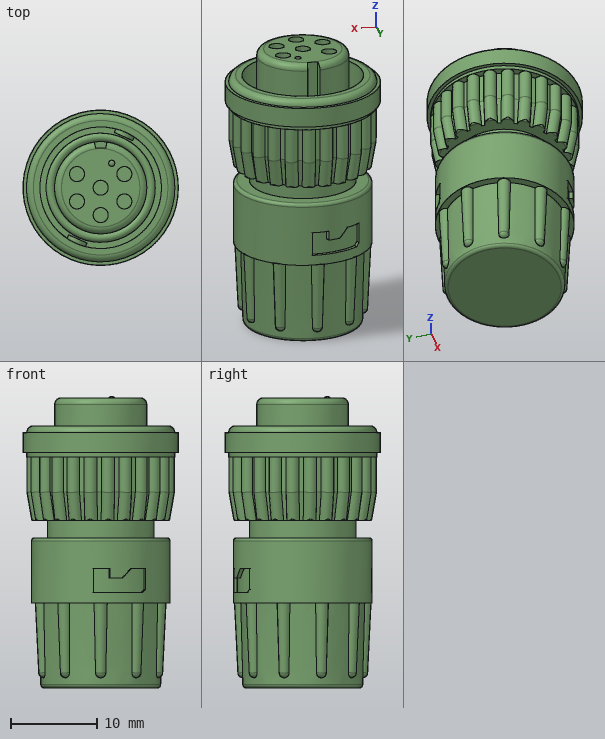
import cadquery as cq
import math


grip_bottom_radius = 6.95
grip_top_radius = 7.23
grip_bottom_round = 0.4
rib_count = 10
rib_phase = -90.0
rib_sink = 0.02
rib_bottom_radius = 0.6
rib_top_radius = 0.77
rib_bottom_z = 1.78
rib_sleeve_overlap = 0.2

sleeve_bottom_z = 9.85
sleeve_top_z = 17.42
sleeve_radius = 8.05
sleeve_round = 0.4
neck_radius = 6.2

pocket_direction = -73.0
pocket_depth = 0.45
pocket_floor_radius = sleeve_radius - pocket_depth
pocket_bottom_z = 11.05
pocket_top_z = 13.85
pocket_half_width = 3.14
pocket_corner_cut = 0.4
notch_bottom_z = 12.75
notch_half_width = 1.27

nut_bottom_z = 19.4
nut_bend_z = 22.75
nut_ridge_top_z = 26.8
nut_radius = 8.6
nut_top_z = 30.4
nut_top_round = 0.8
nut_bottom_round = 0.25
nut_taper_angle = 10.0
collar_radius = 9.015
collar_bottom_z = 27.3
collar_top_z = nut_top_z - nut_top_round
ridge_count = 24
ridge_radius = 0.75
ridge_phase = 6.3
bore_radius = 7.05
bore_floor_z = 26.3

stud_radius = 1.17
stud_inner_radius = 6.5
stud_direction = 66.0
stud_center_z = 29.0
stud_wall_overlap = 0.3

core_radius = 5.35
core_top_z = 33.65
core_round = 0.8
ring_section_radius = 0.49
keyway_floor_y = 4.6
keyway_inner_half_width = 0.59
keyway_outer_half_width = 0.74

contact_radius = 0.87
contact_depth = 0.8
contact_circle_radius = 3.17
contact_angles = (-150, -90, -30, 30, 150)
index_mark_x = 1.28
index_mark_y = 2.83
index_mark_radius = 0.36
index_mark_height = 0.15

nut_taper = math.tan(math.radians(nut_taper_angle))
ridge_axis_radius = nut_radius - ridge_radius
valley_radius = ridge_axis_radius


def cylinder(radius, bottom_z, top_z):
    return cq.Workplane("XY").workplane(offset=bottom_z).circle(radius).extrude(top_z - bottom_z)


def turned(points):
    """Solid of revolution about Z from (radius, z) points."""
    return cq.Workplane("XZ").polyline(points).close().revolve(360, (0, 0), (0, 1))


def spin(shape, angle):
    return shape.rotate((0, 0, 0), (0, 0, 1), angle)


def add_around(body, shape, count, phase):
    """Join equally spaced copies of a shape onto a body, turned about Z from the phase angle."""
    copies = [spin(shape, phase + i * 360 / count).val() for i in range(count)]
    return cq.Workplane(body.val().fuse(*copies))


def make_grip_rib():
    """Tapered round rib along +X with a ball-shaped bottom end, leaning with the grip wall."""
    lean = math.degrees(math.atan((grip_top_radius - grip_bottom_radius) / sleeve_bottom_z))
    length = sleeve_bottom_z - rib_bottom_z + rib_sleeve_overlap
    ball_corner = rib_bottom_radius * math.sqrt(0.5)
    half_profile = (
        cq.Workplane("XZ")
        .moveTo(0, -rib_bottom_radius)
        .threePointArc((-ball_corner, -ball_corner), (-rib_bottom_radius, 0))
        .lineTo(-rib_top_radius, length)
        .lineTo(0, length)
        .close()
    )
    rib = half_profile.revolve(360, (0, 0), (0, 1))
    rib = rib.rotate((0, 0, 0), (0, 1, 0), lean)
    return rib.translate((grip_bottom_radius - rib_sink, 0, rib_bottom_z))


def make_grip():
    grip = turned([
        (0, 0),
        (grip_bottom_radius, 0),
        (grip_top_radius, sleeve_bottom_z),
        (0, sleeve_bottom_z),
    ]).faces("<Z").edges().fillet(grip_bottom_round)
    rib = make_grip_rib()
    return add_around(grip, rib, rib_count, rib_phase)


def make_pocket():
    """Cutter for one pocket: a prism along +X that stops at the pocket floor cylinder."""
    notch_depth = pocket_top_z - notch_bottom_z
    outline = [
        (-pocket_half_width, pocket_top_z),
        (-notch_half_width, pocket_top_z),
        (-notch_half_width, notch_bottom_z),
        (notch_half_width - notch_depth, notch_bottom_z),
        (notch_half_width, pocket_top_z),
        (pocket_half_width, pocket_top_z),
        (pocket_half_width, pocket_bottom_z + pocket_corner_cut),
        (pocket_half_width - pocket_corner_cut, pocket_bottom_z),
        (-pocket_half_width, pocket_bottom_z),
    ]
    prism = cq.Workplane("YZ").polyline(outline).close().extrude(2 * sleeve_radius)
    return prism.cut(cylinder(pocket_floor_radius, sleeve_bottom_z, sleeve_top_z))


def make_sleeve():
    sleeve = cylinder(sleeve_radius, sleeve_bottom_z, sleeve_top_z)
    sleeve = sleeve.faces(">Z").edges().fillet(sleeve_round)
    pocket = make_pocket()
    for side in (0, 180):
        sleeve = sleeve.cut(spin(pocket, pocket_direction + side))
    return sleeve


def tapered_nut_body(radius, bend_z):
    """Round body, straight above the bend and tapering inward below it."""
    bottom_radius = radius - (bend_z - nut_bottom_z) * nut_taper
    return turned([
        (0, nut_bottom_z),
        (bottom_radius, nut_bottom_z),
        (radius, bend_z),
        (radius, nut_ridge_top_z),
        (0, nut_ridge_top_z),
    ])


def make_nut_ridge():
    """Round ridge along +X that follows the straight and tapered parts of the nut."""
    overrun_z = nut_bottom_z - 2 * nut_bottom_round
    end_radius = ridge_axis_radius - (nut_bend_z - overrun_z) * nut_taper
    path = cq.Workplane("XZ").polyline([
        (ridge_axis_radius, nut_ridge_top_z),
        (ridge_axis_radius, nut_bend_z),
        (end_radius, overrun_z),
    ])
    section = cq.Workplane("XY").workplane(offset=nut_ridge_top_z)
    return section.center(ridge_axis_radius, 0).circle(ridge_radius).sweep(path, transition="right")


def make_nut_ribbed_part():
    ribbed = tapered_nut_body(valley_radius, nut_bend_z)
    ridge = make_nut_ridge()
    ribbed = add_around(ribbed, ridge, ridge_count, ridge_phase)
    crown_bend_z = nut_bend_z - ridge_radius * math.tan(math.radians(nut_taper_angle / 2))
    envelope = tapered_nut_body(nut_radius, crown_bend_z).faces("<Z").edges().fillet(nut_bottom_round)
    return ribbed.intersect(envelope)


def make_stud():
    """Bayonet stud pointing along X, from the bore wall inward."""
    length = bore_radius + stud_wall_overlap - stud_inner_radius
    section = cq.Workplane("YZ").workplane(offset=stud_inner_radius).center(0, stud_center_z)
    return section.circle(stud_radius).extrude(length)


def make_nut():
    nut = cylinder(nut_radius, nut_ridge_top_z, nut_top_z).faces(">Z").edges().fillet(nut_top_round)
    nut = nut.union(cylinder(collar_radius, collar_bottom_z, collar_top_z))
    nut = nut.union(make_nut_ribbed_part())
    nut = nut.cut(cylinder(bore_radius, bore_floor_z, nut_top_z))
    stud = make_stud()
    for side in (0, 180):
        nut = nut.union(spin(stud, stud_direction + side))
    return nut


def make_sealing_ring():
    """Ring around the core, half sunk in the bore floor."""
    ring_radius = core_radius + ring_section_radius
    section = cq.Workplane("XZ").center(ring_radius, bore_floor_z).circle(ring_section_radius)
    return section.revolve(360, (-ring_radius, 0), (-ring_radius, 1))


def make_index_mark():
    """Low dome on the core face."""
    ball_radius = (index_mark_radius ** 2 + index_mark_height ** 2) / (2 * index_mark_height)
    ball_z = core_top_z + index_mark_height - ball_radius
    return cq.Workplane("XY").sphere(ball_radius).translate((index_mark_x, index_mark_y, ball_z))


def make_core():
    core = cylinder(core_radius, bore_floor_z, core_top_z).faces(">Z").edges().fillet(core_round)
    keyway = cq.Workplane("XY").workplane(offset=bore_floor_z).polyline([
        (-keyway_inner_half_width, keyway_floor_y),
        (keyway_inner_half_width, keyway_floor_y),
        (keyway_outer_half_width, core_radius),
        (-keyway_outer_half_width, core_radius),
    ]).close().extrude(core_top_z - bore_floor_z)
    core = core.cut(keyway)

    contact_points = [(0, 0)]
    for angle in contact_angles:
        x = contact_circle_radius * math.cos(math.radians(angle))
        y = contact_circle_radius * math.sin(math.radians(angle))
        contact_points.append((x, y))
    contacts = cq.Workplane("XY").workplane(offset=core_top_z - contact_depth)
    contacts = contacts.pushPoints(contact_points).circle(contact_radius).extrude(contact_depth)
    return core.cut(contacts).union(make_index_mark())


result = (
    make_grip()
    .union(make_sleeve())
    .union(cylinder(neck_radius, sleeve_top_z, nut_bottom_z))
    .union(make_nut())
    .union(make_sealing_ring())
    .union(make_core())
)